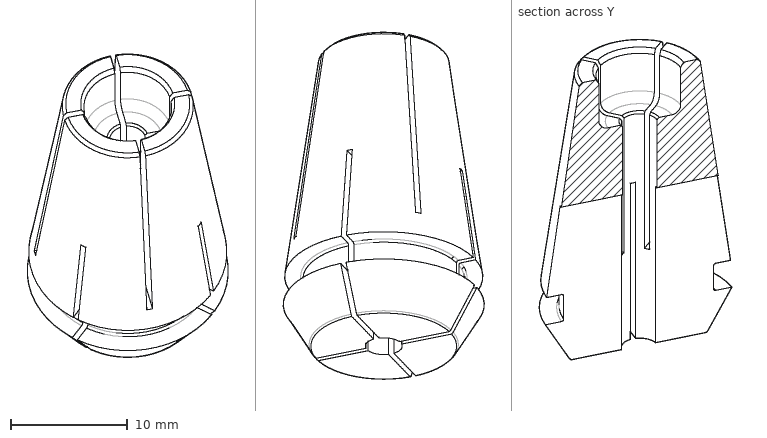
import cadquery as cq
import math

total_height = 27.5
taper_angle = math.radians(8)
nose_angle = math.radians(30)

flange_radius = 8.625
flange_height = 4.0
nose_edge_break = 0.15

groove_radius = 6.93
groove_top_z = 6.68
groove_fillet = 0.2

taper_base_radius = 8.5
rear_chamfer = 0.3

bore_diameter = 3.17
bore_radius = bore_diameter / 2
bore_chamfer = 0.2
pocket_radius = 3.76
pocket_depth = 5.0
pocket_fillet = 0.8
pocket_chamfer_width = 0.27
pocket_chamfer_angle = math.radians(30)

slit_width = 0.5
nose_slit_top_z = 15.5
rear_slit_bottom_z = 8.95

overcut = 1.0


def make_body():
    """Revolve the outer profile: nose cone, groove, long taper."""
    nose_radius = flange_radius - flange_height * math.tan(nose_angle)
    break_radius = nose_radius + nose_edge_break * math.tan(nose_angle)
    chamfer_z = total_height - rear_chamfer
    chamfer_radius = taper_base_radius - (chamfer_z - groove_top_z) * math.tan(taper_angle)
    fillet_reach = groove_fillet * (1 - math.sqrt(0.5))
    profile = (
        cq.Workplane("XZ")
        .lineTo(break_radius - nose_edge_break, 0)
        .lineTo(break_radius, nose_edge_break)
        .lineTo(flange_radius, flange_height)
        .lineTo(groove_radius + groove_fillet, flange_height)
        .threePointArc(
            (groove_radius + fillet_reach, flange_height + fillet_reach),
            (groove_radius, flange_height + groove_fillet),
        )
        .lineTo(groove_radius, groove_top_z - groove_fillet)
        .threePointArc(
            (groove_radius + fillet_reach, groove_top_z - fillet_reach),
            (groove_radius + groove_fillet, groove_top_z),
        )
        .lineTo(taper_base_radius, groove_top_z)
        .lineTo(chamfer_radius, chamfer_z)
        .lineTo(chamfer_radius - rear_chamfer, total_height)
        .lineTo(0, total_height)
        .close()
    )
    return profile.revolve(360, (0, 0, 0), (0, 1, 0))


def make_bore():
    """Revolve the hollow: through bore, its lead-in, and the rear pocket."""
    floor_z = total_height - pocket_depth
    mouth_z = total_height - pocket_chamfer_width / math.tan(pocket_chamfer_angle)
    fillet_reach = pocket_fillet * (1 - math.sqrt(0.5))
    profile = (
        cq.Workplane("XZ")
        .moveTo(0, -overcut)
        .lineTo(bore_radius, -overcut)
        .lineTo(bore_radius, floor_z - bore_chamfer)
        .lineTo(bore_radius + bore_chamfer, floor_z)
        .lineTo(pocket_radius - pocket_fillet, floor_z)
        .threePointArc(
            (pocket_radius - fillet_reach, floor_z + fillet_reach),
            (pocket_radius, floor_z + pocket_fillet),
        )
        .lineTo(pocket_radius, mouth_z)
        .lineTo(pocket_radius + pocket_chamfer_width, total_height)
        .lineTo(0, total_height)
        .close()
    )
    return profile.revolve(360, (0, 0, 0), (0, 1, 0))


def make_crossed_slits(bottom_z, top_z, angle):
    """Two perpendicular thin plates across the full diameter, turned about Z."""
    length = 2 * (flange_radius + overcut)
    height = top_z - bottom_z
    slit = cq.Workplane("XY", origin=(0, 0, bottom_z)).box(
        length, slit_width, height, centered=(True, True, False)
    )
    crossed = slit.union(slit.rotate((0, 0, 0), (0, 0, 1), 90))
    return crossed.rotate((0, 0, 0), (0, 0, 1), angle)


nose_slits = make_crossed_slits(-overcut, nose_slit_top_z, 0)
rear_slits = make_crossed_slits(rear_slit_bottom_z, total_height + overcut, 45)

result = make_body().cut(make_bore()).cut(nose_slits).cut(rear_slits)